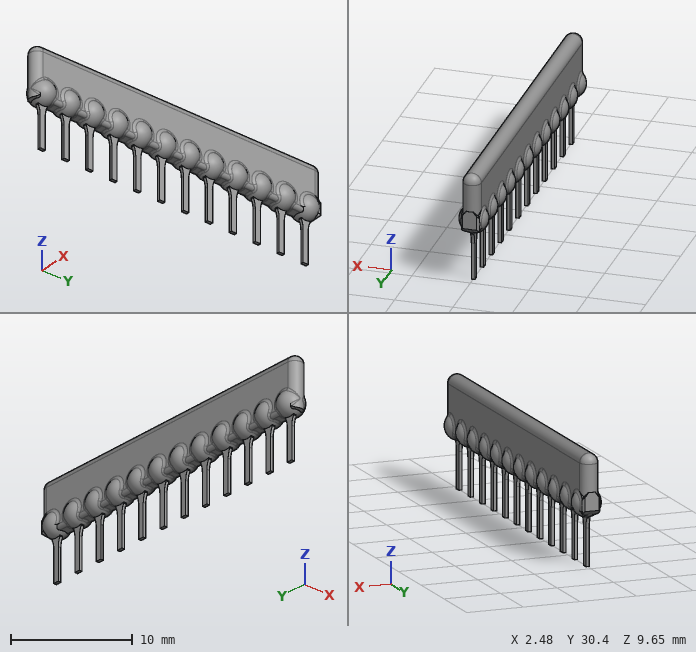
import cadquery as cq
import math

lead_count = 12
lead_pitch = 2.54
lead_width = 0.56
lead_thickness = 0.3
flare_height = 0.9
flare_radius = 2.1
row_length = (lead_count - 1) * lead_pitch
lead_positions = [i * lead_pitch - row_length / 2 for i in range(lead_count)]
last_bead_y = lead_positions[-1]

bead_radius = 1.24
bead_fillet = 0.43
slab_thickness = 1.55
slab_length = 30.43
slab_rise = 4.25
slab_drop = 0.9
edge_radius = slab_thickness / 2
bottom_fillet = 0.37
end_chamfer = 0.42

pad_width = 1.2
pad_bevel_angle = 50
pad_rise = 1.1
pad_shoulder_rise = 0.5
pad_top_width = 0.6

overall_height = 9.65
bead_z = bead_radius
slab_top = bead_z + slab_rise
slab_bottom = bead_z - slab_drop
lead_tip_z = slab_top - overall_height
slab_end = slab_length / 2
round_end_start = slab_end - edge_radius


def make_capsule():
    """Slab with fully round ends, top edge and top corners, and a sharp flat bottom."""
    shoulder_z = slab_top - edge_radius
    capsule = (
        cq.Workplane("XY", origin=(0, 0, slab_bottom))
        .slot2D(slab_length, slab_thickness, 90)
        .extrude(shoulder_z - slab_bottom)
    )
    ridge = cq.Workplane("XZ", origin=(0, round_end_start, shoulder_z)).circle(edge_radius)
    capsule = capsule.union(ridge.extrude(2 * round_end_start))
    for corner_y in (-round_end_start, round_end_start):
        corner = cq.Workplane("XY", origin=(0, corner_y, shoulder_z)).sphere(edge_radius)
        capsule = capsule.union(corner)
    return capsule.clean()


def make_beveled_end(half_width, start_y, floor, height):
    """Upright block ending at the slab's +Y end in a flat between two beveled flanks."""
    half_flat = pad_width / 2
    bevel_y = slab_end - (half_width - half_flat) * math.tan(math.radians(pad_bevel_angle))
    outline = [
        (-half_width, start_y),
        (half_width, start_y),
        (half_width, bevel_y),
        (half_flat, slab_end),
        (-half_flat, slab_end),
        (-half_width, bevel_y),
    ]
    return cq.Workplane("XY", origin=(0, 0, floor)).polyline(outline).close().extrude(height)


def make_end_pad():
    """Blunt lower part of the +Y end, narrowing towards its top."""
    pad_top = bead_z + pad_rise
    shoulder_z = bead_z + pad_shoulder_rise
    front = [
        (-edge_radius, slab_bottom),
        (edge_radius, slab_bottom),
        (edge_radius, shoulder_z),
        (pad_top_width / 2, pad_top),
        (-pad_top_width / 2, pad_top),
        (-edge_radius, shoulder_z),
    ]
    front_block = cq.Workplane("XZ").polyline(front).close().extrude(-slab_length)
    return make_beveled_end(edge_radius, round_end_start, slab_bottom, slab_rise).intersect(front_block)


def round_bottom(body):
    """Round the two long bottom edges of a body as thick as the slab."""
    envelope = (
        cq.Workplane("XY", origin=(0, 0, slab_bottom))
        .box(slab_thickness, slab_length + slab_thickness, overall_height, centered=(True, True, False))
        .edges("<Z and |Y")
        .fillet(bottom_fillet)
    )
    return body.intersect(envelope)


def make_chamfer_wedge():
    """Material removed under the +Y end of the slab."""
    wedge = (
        cq.Workplane("YZ")
        .moveTo(slab_end, slab_bottom)
        .lineTo(slab_end, slab_bottom + end_chamfer)
        .lineTo(slab_end - end_chamfer, slab_bottom)
        .close()
    )
    return wedge.extrude(slab_thickness / 2, both=True)


def make_bead(y):
    return cq.Workplane("XY", origin=(0, y, bead_z)).sphere(bead_radius)


def is_side_seam(edge):
    """True for the circle where a bead leaves one of the slab's two flat sides."""
    return edge.geomType() == "CIRCLE" and math.isclose(abs(edge.Center().x), edge_radius, abs_tol=1e-4)


def add_blended_beads(body, positions):
    """Join beads to the slab and blend the seams around them."""
    for y in positions:
        body = body.union(make_bead(y))
    bead_faces = body.faces("%SPHERE").vals()
    seams = [edge for face in bead_faces for edge in face.Edges() if is_side_seam(edge)]
    return body.newObject([body.val().fillet(bead_fillet, seams)])


def make_bead_collar(y):
    """Blend of the +Y bead as a turned collar about X, above the rounding of the slab bottom."""
    centre_distance = bead_radius + bead_fillet
    blend_x = edge_radius + bead_fillet
    collar_radius = math.sqrt(centre_distance**2 - blend_x**2)
    bead_share = bead_radius / centre_distance
    touch_x = blend_x * bead_share
    touch_radius = collar_radius * bead_share
    mid_angle = math.pi + math.atan2(collar_radius, blend_x) / 2
    mid_x = blend_x + bead_fillet * math.cos(mid_angle)
    mid_radius = collar_radius + bead_fillet * math.sin(mid_angle)
    collar = (
        cq.Workplane("XY")
        .moveTo(-touch_x, 0)
        .lineTo(-touch_x, touch_radius)
        .threePointArc((-mid_x, mid_radius), (-edge_radius, collar_radius))
        .lineTo(edge_radius, collar_radius)
        .threePointArc((mid_x, mid_radius), (touch_x, touch_radius))
        .lineTo(touch_x, 0)
        .close()
        .revolve(360, (0, 0, 0), (1, 0, 0))
        .translate((0, y, bead_z))
    )
    room = make_beveled_end(touch_x, y - bead_radius, slab_bottom + bottom_fillet, slab_rise)
    return collar.intersect(room)


def make_lead(y):
    """Flat lead that flares in a smooth curve up to its bead."""
    half_tip = lead_width / 2

    def flare_point(height):
        offset = flare_radius - math.sqrt(flare_radius**2 - height**2)
        return half_tip + offset, height - flare_height

    middle_half, middle_z = flare_point(flare_height / 2)
    root_half, root_z = flare_point(flare_height)
    profile = (
        cq.Workplane("YZ", origin=(0, y, 0))
        .moveTo(-half_tip, lead_tip_z)
        .lineTo(half_tip, lead_tip_z)
        .lineTo(half_tip, -flare_height)
        .threePointArc((middle_half, middle_z), (root_half, root_z))
        .lineTo(root_half, bead_z)
        .lineTo(-root_half, bead_z)
        .lineTo(-root_half, root_z)
        .threePointArc((-middle_half, middle_z), (-half_tip, -flare_height))
        .close()
    )
    return profile.extrude(lead_thickness / 2, both=True)


slab = round_bottom(make_capsule())
result = add_blended_beads(slab, lead_positions[:-1])
result = result.union(round_bottom(make_end_pad())).cut(make_chamfer_wedge())
result = result.union(make_bead(last_bead_y)).union(make_bead_collar(last_bead_y))
for lead_y in lead_positions:
    result = result.union(make_lead(lead_y))